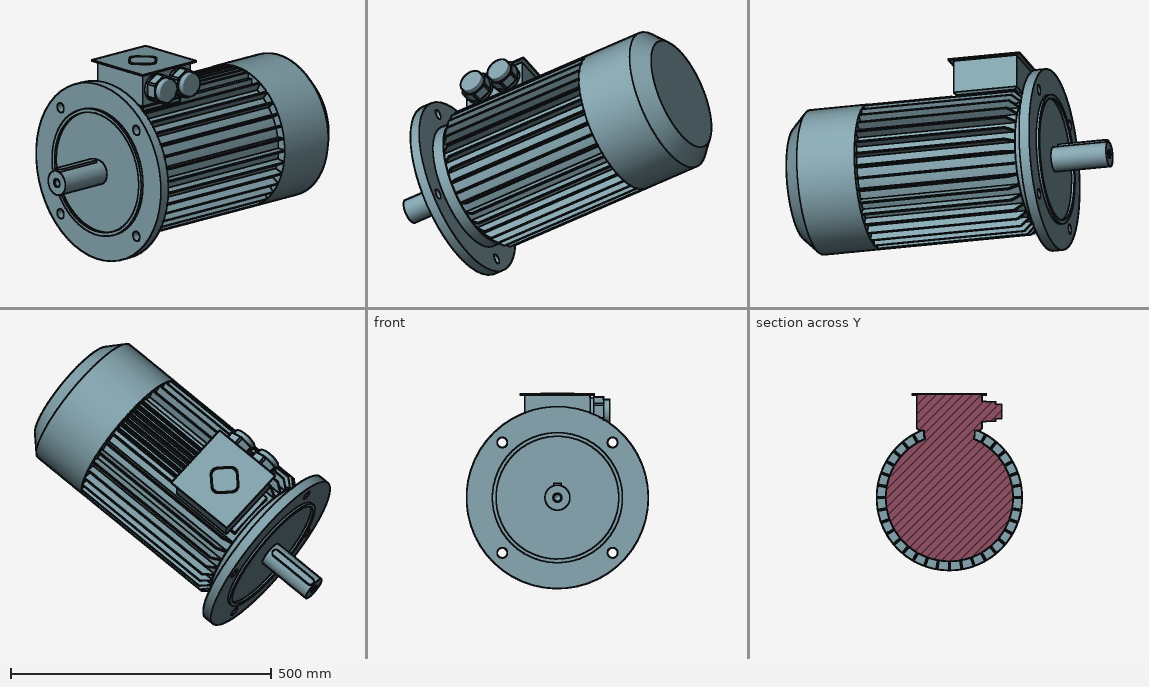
import cadquery as cq
import math


SHAFT_DIAMETER = 48.0
SHAFT_LENGTH = 110.0
KEY_WIDTH = 14.0
KEY_LENGTH = 102.0
KEY_TIP_GAP = 1.5
KEY_TOP = 27.5
KEY_BOTTOM = 18.0
CENTRE_HOLE_DIAMETER = 13.84
CENTRE_HOLE_DEPTH = 36.0
CENTRE_HOLE_MOUTH = 17.0
CENTRE_HOLE_TIP_ANGLE = 120.0

FLANGE_DIAMETER = 350.0
FLANGE_THICKNESS = 20.0
SPIGOT_DIAMETER = 250.0
SPIGOT_HEIGHT = 5.0
RECESS_DIAMETER = 236.0
BOLT_CIRCLE_DIAMETER = 300.0
BOLT_HOLE_DIAMETER = 19.0
BOLT_COUNT = 4
BOLT_FIRST_ANGLE = 45.0
NECK_END = 43.0

CORE_DIAMETER = 245.0
COVER_DIAMETER = 280.0
COVER_START = 360.0
COVER_END = 505.0
COVER_CHAMFER = 30.0

FIN_THICKNESS = 3.0
FIN_PITCH_ANGLE = 10.0
UPRIGHT_ANGLE = 90.0
FIN_FIRST_ANGLE = 120.0
FIN_LAST_ANGLE = 420.0
FIN_START = 45.0
FIN_CHAMFER = 15.0
FIN_ROOT_DEPTH = 5.0
TOP_FIN_COUNT = 7
TOP_FIN_PITCH = 12.0
TOP_FIN_START = 185.0

PAD_WIDTH = 94.0
PAD_TOP = 124.0
PAD_START = 50.0

BOX_CENTRE_Y = 120.5
BOX_SIZE = 126.0
BOX_BOTTOM = 129.0
BOX_CHAMFER = 4.5
BOX_NECK_SIZE = 98.0
LID_SIZE = 142.0
LID_BOTTOM = 197.0
LID_TOP = 199.5

BADGE_CENTRE_Y = 117.0
BADGE_TURN = 45.0
BADGE_SIZE = 53.0
BADGE_CORNER_RADIUS = 15.0
BADGE_HEIGHT = 1.5
BADGE_RIM = 2.6
BADGE_RECESS_DEPTH = 1.0

GLAND_PITCH = 61.0
GLAND_AXIS_Z = 165.5
GLAND_COLLAR_DIAMETER = 54.0
GLAND_COLLAR_END = 69.5
GLAND_NUT_FLATS = 51.0
GLAND_NUT_DIAMETER = 56.5
GLAND_NUT_END = 89.0
GLAND_CAP_DIAMETER = 47.09
GLAND_CAP_END = 101.0
GLAND_CAP_ROUNDING = 2.0

CORE_RADIUS = CORE_DIAMETER / 2
COVER_RADIUS = COVER_DIAMETER / 2


def cylinder_y(diameter, start, end):
    """Cylinder on the motor axis between two Y positions."""
    return cq.Workplane("XZ", origin=(0, start, 0)).circle(diameter / 2).extrude(start - end)


def cylinder_x(diameter, start, end, y):
    """Cylinder along X on the axis of a cable gland."""
    plane = cq.Workplane("YZ", origin=(start, y, GLAND_AXIS_Z))
    return plane.circle(diameter / 2).extrude(end - start)


def square_block(size, bottom, top):
    """Square block centred on the terminal box."""
    return cq.Workplane("XY", origin=(0, BOX_CENTRE_Y, bottom)).rect(size, size).extrude(top - bottom)


def make_shaft():
    tip = -SHAFT_LENGTH
    shaft = cylinder_y(SHAFT_DIAMETER, tip, FLANGE_THICKNESS)
    key_centre = tip + KEY_TIP_GAP + KEY_LENGTH / 2
    key = (
        cq.Workplane("XY", origin=(0, key_centre, KEY_BOTTOM))
        .slot2D(KEY_LENGTH, KEY_WIDTH, 90)
        .extrude(KEY_TOP - KEY_BOTTOM)
    )
    hole_radius = CENTRE_HOLE_DIAMETER / 2
    mouth_radius = CENTRE_HOLE_MOUTH / 2
    hole_end = tip + CENTRE_HOLE_DEPTH
    cone_height = hole_radius / math.tan(math.radians(CENTRE_HOLE_TIP_ANGLE / 2))
    centre_hole = (
        cq.Workplane("XY")
        .moveTo(0, tip)
        .lineTo(mouth_radius, tip)
        .lineTo(hole_radius, tip + mouth_radius - hole_radius)
        .lineTo(hole_radius, hole_end)
        .lineTo(0, hole_end + cone_height)
        .close()
        .revolve(360, (0, 0, 0), (0, 1, 0))
    )
    return shaft.union(key).cut(centre_hole)


def make_flange():
    flange = cylinder_y(FLANGE_DIAMETER, 0, FLANGE_THICKNESS)
    flange = flange.union(cylinder_y(SPIGOT_DIAMETER, -SPIGOT_HEIGHT, NECK_END))
    flange = flange.cut(cylinder_y(RECESS_DIAMETER, -SPIGOT_HEIGHT, 0))
    bolt_holes = (
        cq.Workplane("XZ")
        .polarArray(BOLT_CIRCLE_DIAMETER / 2, BOLT_FIRST_ANGLE, 360, BOLT_COUNT)
        .circle(BOLT_HOLE_DIAMETER / 2)
        .extrude(-FLANGE_THICKNESS)
    )
    return flange.cut(bolt_holes)


def make_fan_cover():
    cover = cylinder_y(COVER_DIAMETER, COVER_START, COVER_END)
    return cover.faces(">Y").chamfer(COVER_CHAMFER)


def make_fin(start, x=0.0):
    """Upright fin with a chamfered front end, standing on the top of the core."""
    root = CORE_RADIUS - FIN_ROOT_DEPTH
    shoulder = COVER_RADIUS - FIN_CHAMFER
    outline = [
        (start, root),
        (start, shoulder),
        (start + FIN_CHAMFER, COVER_RADIUS),
        (COVER_START, COVER_RADIUS),
        (COVER_START, root),
    ]
    plane = cq.Workplane("YZ", origin=(x, 0, 0))
    return plane.polyline(outline).close().extrude(FIN_THICKNESS / 2, both=True)


def make_frame():
    frame = cylinder_y(CORE_DIAMETER, NECK_END, COVER_START)
    pad_length = COVER_START - PAD_START
    pad = (
        cq.Workplane("XY", origin=(0, PAD_START + pad_length / 2, 0))
        .rect(PAD_WIDTH, pad_length)
        .extrude(PAD_TOP)
    )
    frame = frame.union(pad)

    radial_count = round((FIN_LAST_ANGLE - FIN_FIRST_ANGLE) / FIN_PITCH_ANGLE) + 1
    for index in range(radial_count):
        angle = FIN_FIRST_ANGLE + index * FIN_PITCH_ANGLE
        fin = make_fin(FIN_START).rotate((0, 0, 0), (0, 1, 0), UPRIGHT_ANGLE - angle)
        frame = frame.union(fin)
    for index in range(TOP_FIN_COUNT):
        x = (index - (TOP_FIN_COUNT - 1) / 2) * TOP_FIN_PITCH
        frame = frame.union(make_fin(TOP_FIN_START, x))
    return frame.intersect(cylinder_y(COVER_DIAMETER, NECK_END, COVER_START))


def badge_plate(size, corner_radius, bottom, height):
    """Rounded square plate turned to stand on one corner."""
    return (
        cq.Workplane("XY", origin=(0, BADGE_CENTRE_Y, bottom))
        .transformed(rotate=(0, 0, BADGE_TURN))
        .rect(size, size)
        .extrude(height)
        .edges("|Z")
        .fillet(corner_radius)
    )


def make_badge():
    badge = badge_plate(BADGE_SIZE, BADGE_CORNER_RADIUS, LID_TOP, BADGE_HEIGHT)
    recess = badge_plate(
        BADGE_SIZE - 2 * BADGE_RIM,
        BADGE_CORNER_RADIUS - BADGE_RIM,
        LID_TOP + BADGE_HEIGHT - BADGE_RECESS_DEPTH,
        BADGE_RECESS_DEPTH,
    )
    return badge.cut(recess)


def make_terminal_box():
    body = square_block(BOX_SIZE, BOX_BOTTOM, LID_BOTTOM).faces("<Z").chamfer(BOX_CHAMFER)
    neck = square_block(BOX_NECK_SIZE, CORE_RADIUS - FIN_ROOT_DEPTH, BOX_BOTTOM)
    lid = square_block(LID_SIZE, LID_BOTTOM, LID_TOP)
    return body.union(neck).union(lid).union(make_badge())


def make_gland(y):
    collar = cylinder_x(GLAND_COLLAR_DIAMETER, BOX_SIZE / 2, GLAND_COLLAR_END, y)
    hexagon = (
        cq.Workplane("YZ", origin=(GLAND_COLLAR_END, y, GLAND_AXIS_Z))
        .polygon(6, GLAND_NUT_FLATS, circumscribed=True)
        .extrude(GLAND_NUT_END - GLAND_COLLAR_END)
    )
    nut = hexagon.intersect(cylinder_x(GLAND_NUT_DIAMETER, GLAND_COLLAR_END, GLAND_NUT_END, y))
    cap = cylinder_x(GLAND_CAP_DIAMETER, GLAND_NUT_END, GLAND_CAP_END, y)
    cap = cap.faces(">X").edges().fillet(GLAND_CAP_ROUNDING)
    return collar.union(nut).union(cap)


motor = make_frame().union(make_fan_cover()).union(make_flange()).union(make_shaft())
motor = motor.union(make_terminal_box())
for side in (-1, 1):
    motor = motor.union(make_gland(BOX_CENTRE_Y + side * GLAND_PITCH / 2))

result = motor